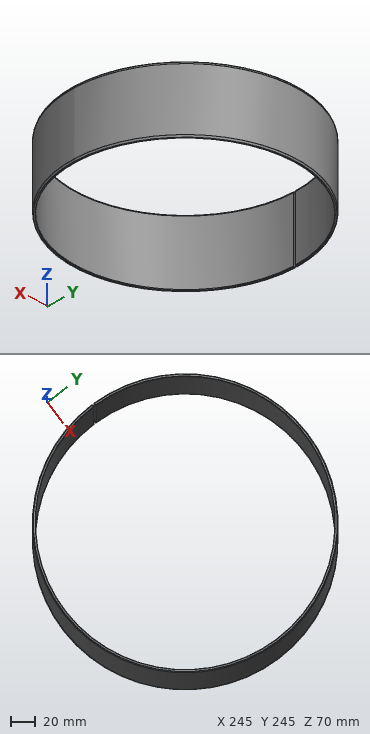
import cadquery as cq

outer_diameter = 245.0
height = 70.0
wall = 2.5
outer_chamfer_depth = 0.65
outer_chamfer_height = 2.0
inner_chamfer_depth = 0.3
inner_chamfer_height = 0.85
slit_width = 2.0

outer_radius = outer_diameter / 2
inner_radius = outer_radius - wall
half_height = height / 2
rim_outer_radius = outer_radius - outer_chamfer_depth
rim_inner_radius = inner_radius + inner_chamfer_depth
outer_shoulder = half_height - outer_chamfer_height
inner_shoulder = half_height - inner_chamfer_height


def chamfered_ring():
    """Thin ring with all four rim edges chamfered, centred on the origin."""
    section = (
        cq.Workplane("XZ")
        .moveTo(rim_inner_radius, -half_height)
        .lineTo(rim_outer_radius, -half_height)
        .lineTo(outer_radius, -outer_shoulder)
        .lineTo(outer_radius, outer_shoulder)
        .lineTo(rim_outer_radius, half_height)
        .lineTo(rim_inner_radius, half_height)
        .lineTo(inner_radius, inner_shoulder)
        .lineTo(inner_radius, -inner_shoulder)
        .close()
    )
    return section.revolve(360, (0, 0, 0), (0, 1, 0))


def slit():
    """Full-height cutter through the wall at -X, with one face on the XZ plane."""
    return (
        cq.Workplane("XY")
        .box(outer_radius, slit_width, height, centered=(True, False, True))
        .translate((-outer_radius, 0, 0))
    )


result = chamfered_ring().cut(slit())